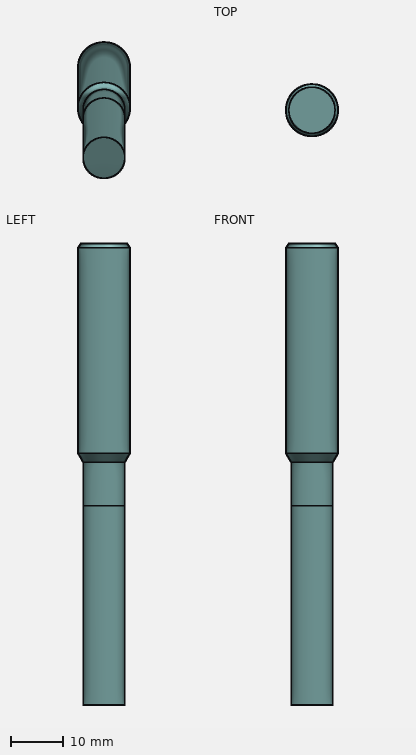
import cadquery as cq
import math

overall_length = 88.0
cutter_length = 38.0
shank_length = 40.0
shank_diameter = 10.0
neck_diameter = 8.0
cutter_diameter = neck_diameter
taper_angle = 60.0

chamfer_length = 0.9
chamfer_depth = 0.6

shank_radius = shank_diameter / 2
neck_radius = neck_diameter / 2
taper_length = (shank_radius - neck_radius) * math.tan(math.radians(taper_angle))
taper_top = overall_length - shank_length
taper_bottom = taper_top - taper_length


def make_cutter():
    """Cylindrical cutting section at the lower end."""
    return cq.Workplane("XY").circle(cutter_diameter / 2).extrude(cutter_length)


def make_holder():
    """Neck, taper and chamfered shank, revolved as one body about Z."""
    return (
        cq.Workplane("XZ")
        .moveTo(0, cutter_length)
        .lineTo(neck_radius, cutter_length)
        .lineTo(neck_radius, taper_bottom)
        .lineTo(shank_radius, taper_top)
        .lineTo(shank_radius, overall_length - chamfer_length)
        .lineTo(shank_radius - chamfer_depth, overall_length)
        .lineTo(0, overall_length)
        .close()
        .revolve(360, (0, 0), (0, 1))
    )


cutter = make_cutter()
holder = make_holder()

result = cq.Compound.makeCompound([cutter.val(), holder.val()])